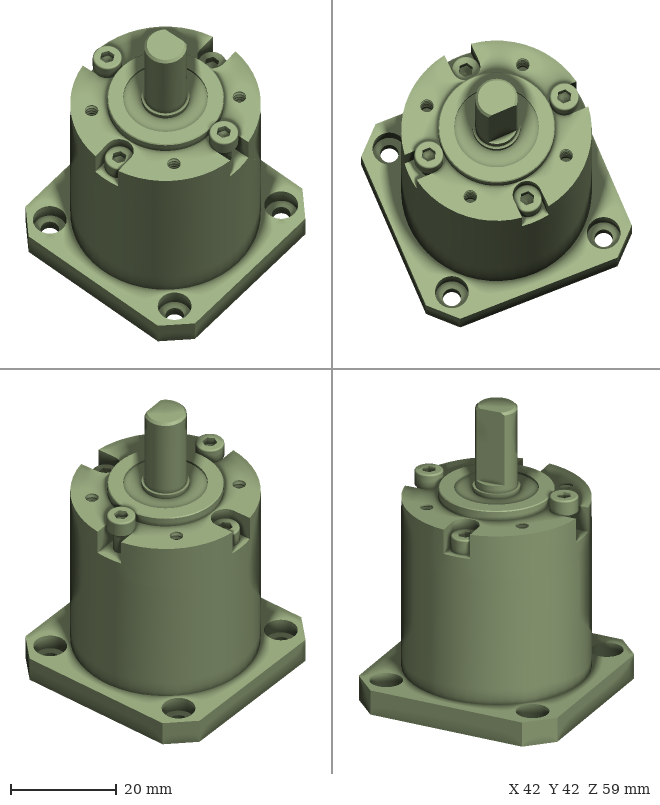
import cadquery as cq
import math

TURN = 2.0

FLANGE_SIDE = 42.0
FLANGE_THICKNESS = 5.0
FLANGE_CHAMFER = 4.95
MOUNT_PITCH = 31.0
MOUNT_HOLE_DIA = 3.5
MOUNT_BORE_DIA = 6.4
MOUNT_BORE_DEPTH = 3.0

BODY_DIA = 36.0
COVER_BOTTOM = 31.0
COVER_TOP = 40.0
BOSS_DIA = 22.0
BOSS_TOP = 42.0
BOSS_CHAMFER = 0.2
RECESS_DIA = 16.0
RECESS_DEPTH = 0.5

SHAFT_TOP = 59.0
SHAFT_DIA = 8.0
SHAFT_CHAMFER = 0.5
FLAT_OFFSET = 2.8
FLAT_BOTTOM = 44.0
COLLAR_DIA = 9.0
COLLAR_TOP = 42.5

SCREW_CIRCLE_RADIUS = 14.05
HEAD_DIA = 5.5
HEAD_HEIGHT = 3.0
HEAD_FILLET = 0.35
SHANK_DIA = 3.0
SHANK_LENGTH = 10.05
HEX_SIDES = 6
SOCKET_FLATS = 2.5
SOCKET_DEPTH = 1.5
SOCKET_POINT_DEPTH = 0.7
SLOT_DEPTH = 5.0
SLOT_FLOOR = COVER_TOP - SLOT_DEPTH

TAP_HOLE_TURN = 45.0
TAP_HOLE_DIA = 2.55
TAP_HOLE_DEPTH = 5.0
THREAD_DIA = 3.4
THREAD_PITCH = 0.8
THREAD_GROOVE_WIDTH = 0.6
THREAD_LIP = 0.3
THREAD_GROOVES = 5

SCREW_ANGLES = [TURN + 90.0 * i for i in range(4)]


def cylinder(diameter, bottom, top):
    """Upright cylinder on the Z axis between two heights."""
    return cq.Workplane("XY").workplane(offset=bottom).circle(diameter / 2).extrude(top - bottom)


def on_screw_circle(shape, angle):
    """Move a shape built on the Z axis out to the screw circle at an angle."""
    return shape.translate((SCREW_CIRCLE_RADIUS, 0, 0)).rotate((0, 0, 0), (0, 0, 1), angle)


def screw_position(angle):
    """XY point on the screw circle at an angle."""
    turn = math.radians(angle)
    return SCREW_CIRCLE_RADIUS * math.cos(turn), SCREW_CIRCLE_RADIUS * math.sin(turn)


def screw_holes(bottom, top):
    """Four cutters that fit the screw shanks, one at each screw."""
    return [on_screw_circle(cylinder(SHANK_DIA, bottom, top), angle) for angle in SCREW_ANGLES]


def make_housing():
    """Square mounting flange with the round gear housing on it."""
    housing = (
        cq.Workplane("XY")
        .rect(FLANGE_SIDE, FLANGE_SIDE)
        .extrude(FLANGE_THICKNESS)
        .edges("|Z")
        .chamfer(FLANGE_CHAMFER)
        .faces(">Z")
        .workplane()
        .rect(MOUNT_PITCH, MOUNT_PITCH, forConstruction=True)
        .vertices()
        .cboreHole(MOUNT_HOLE_DIA, MOUNT_BORE_DIA, MOUNT_BORE_DEPTH)
    )
    housing = housing.union(cylinder(BODY_DIA, FLANGE_THICKNESS, COVER_BOTTOM))
    for hole in screw_holes(SLOT_FLOOR - SHANK_LENGTH, COVER_BOTTOM):
        housing = housing.cut(hole)
    return housing


def screw_slot():
    """Slot with a round inner end, open to the outside of the cover."""
    round_end = cylinder(HEAD_DIA, SLOT_FLOOR, COVER_TOP)
    straight = (
        cq.Workplane("XY")
        .workplane(offset=SLOT_FLOOR)
        .rect(BODY_DIA / 2, HEAD_DIA, centered=(False, True))
        .extrude(SLOT_DEPTH)
    )
    return round_end.union(straight)


def tapped_hole():
    """Blind hole with evenly spaced V-grooves around its wall, as a cutter on the Z axis."""
    hole_radius = TAP_HOLE_DIA / 2
    floor = COVER_TOP - TAP_HOLE_DEPTH
    profile = cq.Workplane("XZ").moveTo(0, COVER_TOP).lineTo(hole_radius, COVER_TOP)
    for groove in range(THREAD_GROOVES):
        groove_top = COVER_TOP - THREAD_LIP - groove * THREAD_PITCH
        profile = profile.lineTo(hole_radius, groove_top)
        profile = profile.lineTo(THREAD_DIA / 2, groove_top - THREAD_GROOVE_WIDTH / 2)
        profile = profile.lineTo(hole_radius, groove_top - THREAD_GROOVE_WIDTH)
    profile = profile.lineTo(hole_radius, floor).lineTo(0, floor).close()
    return profile.revolve(360, (0, 0, 0), (0, 1, 0))


def make_cover():
    """Round cover with a recessed boss, screw slots, tapped holes and shaft bore."""
    boss = cylinder(BOSS_DIA, COVER_TOP, BOSS_TOP).faces(">Z").edges().chamfer(BOSS_CHAMFER)
    cover = cylinder(BODY_DIA, COVER_BOTTOM, COVER_TOP).union(boss)
    cover = cover.cut(cylinder(RECESS_DIA, BOSS_TOP - RECESS_DEPTH, BOSS_TOP))
    cover = cover.cut(cylinder(COLLAR_DIA, COVER_BOTTOM, BOSS_TOP))
    for angle in SCREW_ANGLES:
        cover = cover.cut(on_screw_circle(screw_slot(), angle))
        cover = cover.cut(on_screw_circle(tapped_hole(), angle + TAP_HOLE_TURN))
    for hole in screw_holes(COVER_BOTTOM, SLOT_FLOOR):
        cover = cover.cut(hole)
    return cover


def make_shaft():
    """Output shaft with a collar that runs in the cover and a flat on one side."""
    shaft = cylinder(SHAFT_DIA, COLLAR_TOP, SHAFT_TOP).faces(">Z").edges().chamfer(SHAFT_CHAMFER)
    flat = (
        cq.Workplane("XY")
        .workplane(offset=FLAT_BOTTOM)
        .rect(SHAFT_DIA, SHAFT_DIA)
        .extrude(SHAFT_TOP - FLAT_BOTTOM)
        .translate((0, FLAT_OFFSET + SHAFT_DIA / 2, 0))
        .rotate((0, 0, 0), (0, 0, 1), TURN)
    )
    return cylinder(COLLAR_DIA, COVER_BOTTOM, COLLAR_TOP).union(shaft.cut(flat))


def make_screw(position, seat):
    """Socket-head screw whose head rests at height `seat`; the hex has corners along X."""
    head_top = seat + HEAD_HEIGHT
    socket_floor = head_top - SOCKET_DEPTH
    corner_dia = SOCKET_FLATS / math.cos(math.pi / HEX_SIDES)
    head = cylinder(HEAD_DIA, seat, head_top).faces(">Z").edges().fillet(HEAD_FILLET)
    socket = (
        cq.Workplane("XY")
        .workplane(offset=socket_floor)
        .polygon(HEX_SIDES, corner_dia)
        .extrude(SOCKET_DEPTH)
    )
    cone = cq.Solid.makeCone(0, SOCKET_FLATS / 2, SOCKET_POINT_DEPTH)
    point = cq.Workplane(cone).translate((0, 0, socket_floor - SOCKET_POINT_DEPTH))
    shank = cylinder(SHANK_DIA, seat - SHANK_LENGTH, seat)
    screw = head.union(shank).cut(socket).cut(point)
    return screw.translate((*position, 0))


housing = make_housing()
cover = make_cover()
shaft = make_shaft()

screws = []
for index, angle in enumerate(SCREW_ANGLES):
    seat = COVER_TOP if index % 2 == 0 else SLOT_FLOOR
    screws.append(make_screw(screw_position(angle), seat))

result = cq.Compound.makeCompound(
    [housing.val(), cover.val(), shaft.val(), *[screw.val() for screw in screws]]
)